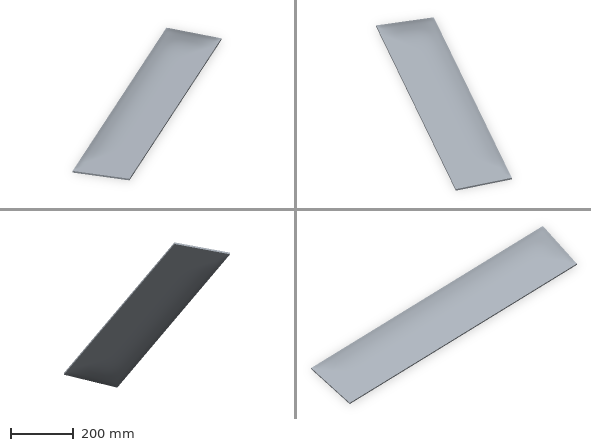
import cadquery as cq

width = 188.0
long_edge = 938.0
end_inset = 9.0
overall_height = 7.7
thickness = 6.0

short_edge = long_edge - 2 * end_inset
rise = overall_height - thickness

cross_section = [
    (-width / 2, -overall_height / 2),
    (width / 2, -overall_height / 2 + rise),
    (width / 2, overall_height / 2),
    (-width / 2, overall_height / 2 - rise),
]
sloping_plate = (
    cq.Workplane("XZ")
    .polyline(cross_section)
    .close()
    .extrude(long_edge / 2, both=True)
)

plan_outline = [
    (-width / 2, -long_edge / 2),
    (width / 2, -short_edge / 2),
    (width / 2, short_edge / 2),
    (-width / 2, long_edge / 2),
]
plan_prism = (
    cq.Workplane("XY")
    .polyline(plan_outline)
    .close()
    .extrude(overall_height, both=True)
)

result = sloping_plate.intersect(plan_prism)